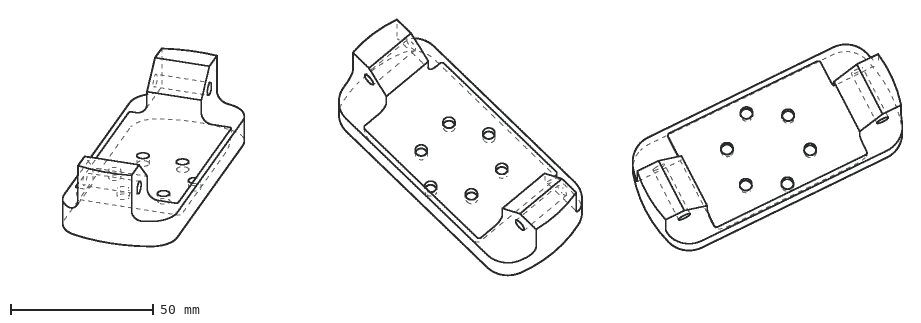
import cadquery as cq
import math

plate_width = 42.0
plate_length = 96.0
plate_height = 10.0
end_radius = plate_length / 2
corner_radius = 10.0

pocket_width = 38.0
pocket_length = 60.0
pocket_depth = 7.0
pocket_end_radius = 6.0
pocket_edge_radius = 1.0

total_height = 28.0
ear_width = 20.2
ear_center_x = -2.4
ear_inner_y = pocket_length / 2
ear_chamfer = 9.0
ear_root_radius = 4.0

ear_hole_diameter = 4.5
ear_hole_y = ear_inner_y + ear_chamfer
ear_hole_z = total_height - ear_chamfer

floor_hole_diameter = 4.3
floor_hole_turn = 2.8
outer_ring_radius = 15.0
inner_ring_radius = 14.25
holes_per_ring = 3
full_turn = 360.0


def make_outline_prism():
    """Full-height prism with the rounded outline seen along Z."""
    slab = cq.Workplane("XY").rect(plate_width, plate_length).extrude(total_height)
    disc = cq.Workplane("XY").circle(end_radius).extrude(total_height)
    return slab.intersect(disc).edges("|Z").fillet(corner_radius)


def make_section_prism():
    """Plate and ear section in XZ, with concave roots, run along the whole length."""
    half_width = plate_width / 2
    ear_left = ear_center_x - ear_width / 2
    ear_right = ear_center_x + ear_width / 2
    root_top = plate_height + ear_root_radius
    arc_offset = ear_root_radius * (1 - math.sqrt(0.5))
    return (
        cq.Workplane("XZ")
        .moveTo(-half_width, 0)
        .lineTo(half_width, 0)
        .lineTo(half_width, plate_height)
        .lineTo(ear_right + ear_root_radius, plate_height)
        .threePointArc((ear_right + arc_offset, plate_height + arc_offset), (ear_right, root_top))
        .lineTo(ear_right, total_height)
        .lineTo(ear_left, total_height)
        .lineTo(ear_left, root_top)
        .threePointArc(
            (ear_left - arc_offset, plate_height + arc_offset),
            (ear_left - ear_root_radius, plate_height),
        )
        .lineTo(-half_width, plate_height)
        .close()
        .extrude(plate_length / 2, both=True)
    )


def make_gap_between_ears():
    """Space above the plate between the ears, widening at 45 degrees to the top."""
    return (
        cq.Workplane("YZ")
        .polyline([
            (-ear_inner_y, plate_height),
            (ear_inner_y, plate_height),
            (ear_inner_y, ear_hole_z),
            (ear_hole_y, total_height),
            (-ear_hole_y, total_height),
            (-ear_inner_y, ear_hole_z),
        ])
        .close()
        .extrude(plate_width / 2, both=True)
    )


def make_pocket():
    """Pocket volume with large end radii and a small radius along both sides."""
    floor_z = plate_height - pocket_depth
    block = (
        cq.Workplane("XY", origin=(0, 0, floor_z))
        .rect(pocket_width, pocket_length)
        .extrude(pocket_depth)
    )
    block = block.edges("|X and <Z").fillet(pocket_end_radius)
    return block.faces("<X or >X").edges("not >Z").fillet(pocket_edge_radius)


def make_ear_holes():
    """Cross holes along X, one per ear."""
    return (
        cq.Workplane("YZ")
        .pushPoints([(-ear_hole_y, ear_hole_z), (ear_hole_y, ear_hole_z)])
        .circle(ear_hole_diameter / 2)
        .extrude(plate_width / 2, both=True)
    )


def make_hole_ring(ring_radius, start_angle):
    """One ring of evenly spaced vertical holes about the origin."""
    return (
        cq.Workplane("XY")
        .polarArray(ring_radius, start_angle, full_turn, holes_per_ring)
        .circle(floor_hole_diameter / 2)
        .extrude(plate_height)
    )


def make_floor_holes():
    """Holes through the pocket floor."""
    half_step = full_turn / holes_per_ring / 2
    outer_ring = make_hole_ring(outer_ring_radius, floor_hole_turn)
    inner_ring = make_hole_ring(inner_ring_radius, floor_hole_turn + half_step)
    return outer_ring.union(inner_ring)


result = (
    make_outline_prism()
    .intersect(make_section_prism())
    .cut(make_gap_between_ears())
    .cut(make_pocket())
    .cut(make_ear_holes())
    .cut(make_floor_holes())
)